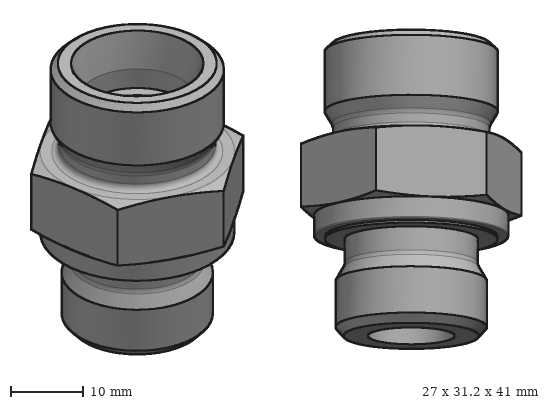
import cadquery as cq
import math

total_height = 41.0
seal_bottom = 13.6
flange_bottom = 14.0
hex_bottom = 17.0
hex_top = 27.0

hex_across_flats = 27.0
flange_diameter = 26.9
flange_edge_radius = 0.2
hex_chamfer_angle = 15.0

lower_thread_diameter = 20.95
lower_neck_diameter = 18.4
lower_thread_top = 7.75
lower_chamfer = 1.25
lower_tip_diameter = 18.75
upper_thread_diameter = 24.0
upper_neck_diameter = 21.7
upper_thread_bottom = 31.6
upper_chamfer = 0.95
upper_tip_diameter = 21.98
relief_angle = 30.0
relief_radius = 1.3
hex_neck_radius = 1.0

bore_diameter = 12.0
socket_diameter = 16.0
socket_depth = 8.5
cone_depth = 5.45
cone_half_angle = 12.0

seal_outer_diameter = 23.9
seal_inner_diameter = 18.5


def rise(run, angle):
    """Axial length of a cone whose radius changes by run at an angle to the axis."""
    return run / math.tan(math.radians(angle))


def circle_edge(solid, diameter, height):
    """Select the circular edge with the given diameter and height."""
    margin = 0.005
    reach = diameter / 2 + margin
    box = cq.selectors.BoxSelector(
        (-reach, -reach, height - margin), (reach, reach, height + margin), boundingbox=True
    )
    found = solid.edges("%CIRCLE").edges(box)
    return found.filter(lambda edge: abs(edge.radius() - diameter / 2) < margin)


def lower_end():
    """Turned lower end with its thread relief and the round flange."""
    thread_r = lower_thread_diameter / 2
    neck_r = lower_neck_diameter / 2
    relief_top = lower_thread_top + rise(thread_r - neck_r, relief_angle)
    profile = (
        cq.Workplane("XZ")
        .lineTo(lower_tip_diameter / 2, 0)
        .lineTo(thread_r, lower_chamfer)
        .lineTo(thread_r, lower_thread_top)
        .lineTo(neck_r, relief_top)
        .lineTo(neck_r, flange_bottom)
        .lineTo(flange_diameter / 2, flange_bottom)
        .lineTo(flange_diameter / 2, hex_bottom)
        .lineTo(0, hex_bottom)
        .close()
    )
    end = profile.revolve(360, (0, 0), (0, 1))
    end = circle_edge(end, lower_neck_diameter, relief_top).fillet(relief_radius)
    return circle_edge(end, flange_diameter, flange_bottom).fillet(flange_edge_radius)


def upper_end():
    """Turned upper end with its thread relief and the round at the hexagon."""
    thread_r = upper_thread_diameter / 2
    neck_r = upper_neck_diameter / 2
    relief_bottom = upper_thread_bottom - rise(thread_r - neck_r, relief_angle)
    foot_r = neck_r + hex_neck_radius
    diagonal = hex_neck_radius * (1 - math.sqrt(0.5))
    profile = (
        cq.Workplane("XZ")
        .moveTo(0, hex_top)
        .lineTo(foot_r, hex_top)
        .threePointArc((neck_r + diagonal, hex_top + diagonal), (neck_r, hex_top + hex_neck_radius))
        .lineTo(neck_r, relief_bottom)
        .lineTo(thread_r, upper_thread_bottom)
        .lineTo(thread_r, total_height - upper_chamfer)
        .lineTo(upper_tip_diameter / 2, total_height)
        .lineTo(0, total_height)
        .close()
    )
    end = profile.revolve(360, (0, 0), (0, 1))
    return circle_edge(end, upper_neck_diameter, relief_bottom).fillet(relief_radius)


def hexagon():
    """Hexagon with corners on the Y axis, its corners turned off at both ends."""
    corner_r = hex_across_flats / math.sqrt(3)
    face_r = flange_diameter / 2
    drop = (corner_r - face_r) * math.tan(math.radians(hex_chamfer_angle))
    prism = (
        cq.Workplane("XY", origin=(0, 0, hex_bottom))
        .polygon(6, 2 * corner_r)
        .extrude(hex_top - hex_bottom)
        .rotate((0, 0, 0), (0, 0, 1), 90)
    )
    envelope = (
        cq.Workplane("XZ")
        .moveTo(0, hex_bottom)
        .lineTo(face_r, hex_bottom)
        .lineTo(corner_r, hex_bottom + drop)
        .lineTo(corner_r, hex_top - drop)
        .lineTo(face_r, hex_top)
        .lineTo(0, hex_top)
        .close()
        .revolve(360, (0, 0), (0, 1))
    )
    return prism.intersect(envelope)


def passage():
    """Space removed inside the fitting: through bore, tube socket and conical mouth."""
    socket_r = socket_diameter / 2
    mouth_r = socket_r + cone_depth * math.tan(math.radians(cone_half_angle))
    socket_bottom = total_height - socket_depth
    return (
        cq.Workplane("XZ")
        .lineTo(bore_diameter / 2, 0)
        .lineTo(bore_diameter / 2, socket_bottom)
        .lineTo(socket_r, socket_bottom)
        .lineTo(socket_r, total_height - cone_depth)
        .lineTo(mouth_r, total_height)
        .lineTo(0, total_height)
        .close()
        .revolve(360, (0, 0), (0, 1))
    )


def make_fitting():
    """Tube fitting body with a threaded end on each side of the hexagon."""
    return lower_end().union(hexagon()).union(upper_end()).cut(passage())


def make_seal():
    """Flat sealing ring lying against the underside of the flange."""
    return (
        cq.Workplane("XY", origin=(0, 0, seal_bottom))
        .circle(seal_outer_diameter / 2)
        .circle(seal_inner_diameter / 2)
        .extrude(flange_bottom - seal_bottom)
    )


fitting = make_fitting()
seal = make_seal()
result = cq.Compound.makeCompound([fitting.val(), seal.val()])